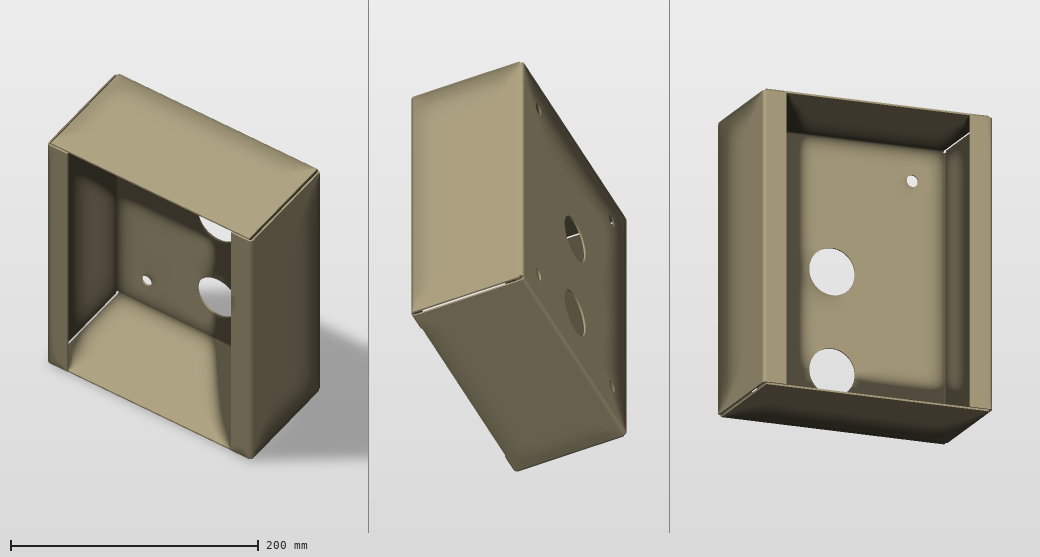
import cadquery as cq

width = 200.0
depth = 100.0
height = 250.0
sheet = 1.5
bend_radius = 3.0
inner_radius = bend_radius - sheet

lip_width = 20.0
wall_end_gap = 1.5
flap_front_gap = 1.5

screw_diameter = 10.0
screw_spacing_x = 140.0
screw_spacing_z = 190.0
port_diameter = 40.0
port_heights = (10.0, -75.0)

flat_width = width - 2 * bend_radius
flat_height = height - 2 * bend_radius
front_y = -depth / 2
back_y = depth / 2


def block(x_range, y_range, z_range):
    """Axis-aligned box between pairs of limits."""
    lows, highs = zip(x_range, y_range, z_range)
    size = [high - low for low, high in zip(lows, highs)]
    return cq.Workplane("XY").box(*size, centered=False).translate(lows)


def quarter_bend(plane, centre, direction, length):
    """Quarter tube about a bend axis, filling the quadrant given by direction."""
    u_sign, v_sign = direction
    diagonal = 0.5 ** 0.5

    def arc_point(radius, u_part, v_part):
        return centre[0] + u_sign * radius * u_part, centre[1] + v_sign * radius * v_part

    return (
        cq.Workplane(plane)
        .moveTo(*arc_point(inner_radius, 1, 0))
        .lineTo(*arc_point(bend_radius, 1, 0))
        .threePointArc(arc_point(bend_radius, diagonal, diagonal), arc_point(bend_radius, 0, 1))
        .lineTo(*arc_point(inner_radius, 0, 1))
        .threePointArc(arc_point(inner_radius, diagonal, diagonal), arc_point(inner_radius, 1, 0))
        .close()
        .extrude(length / 2, both=True)
    )


def back_panel():
    panel = block(
        (-flat_width / 2, flat_width / 2),
        (back_y - sheet, back_y),
        (-flat_height / 2, flat_height / 2),
    )
    screws = (
        cq.Workplane("XZ", origin=(0, back_y, 0))
        .rarray(screw_spacing_x, screw_spacing_z, 2, 2)
        .circle(screw_diameter / 2)
        .extrude(sheet)
    )
    ports = (
        cq.Workplane("XZ", origin=(0, back_y, 0))
        .pushPoints([(0, z) for z in port_heights])
        .circle(port_diameter / 2)
        .extrude(sheet)
    )
    return panel.cut(screws).cut(ports)


def right_side():
    """Side wall at +X with its back bend, front bend and lip."""
    wall_height = height - 2 * wall_end_gap
    z_range = (-wall_height / 2, wall_height / 2)
    bend_x = width / 2 - bend_radius
    wall = block(
        (width / 2 - sheet, width / 2),
        (front_y + bend_radius, back_y - bend_radius),
        z_range,
    )
    lip = block((width / 2 - lip_width, bend_x), (front_y, front_y + sheet), z_range)
    back_bend = quarter_bend("XY", (bend_x, back_y - bend_radius), (1, 1), flat_height)
    front_bend = quarter_bend("XY", (bend_x, front_y + bend_radius), (1, -1), wall_height)
    return wall.union(lip).union(back_bend).union(front_bend)


def top_flap():
    """Flap at +Z with its bend from the back panel."""
    flap = block(
        (-flat_width / 2, flat_width / 2),
        (front_y + flap_front_gap, back_y - bend_radius),
        (height / 2 - sheet, height / 2),
    )
    bend_centre = (back_y - bend_radius, height / 2 - bend_radius)
    return flap.union(quarter_bend("YZ", bend_centre, (1, 1), flat_width))


side = right_side()
flap = top_flap()
result = (
    back_panel()
    .union(side)
    .union(side.mirror("YZ"))
    .union(flap)
    .union(flap.mirror("XY"))
)